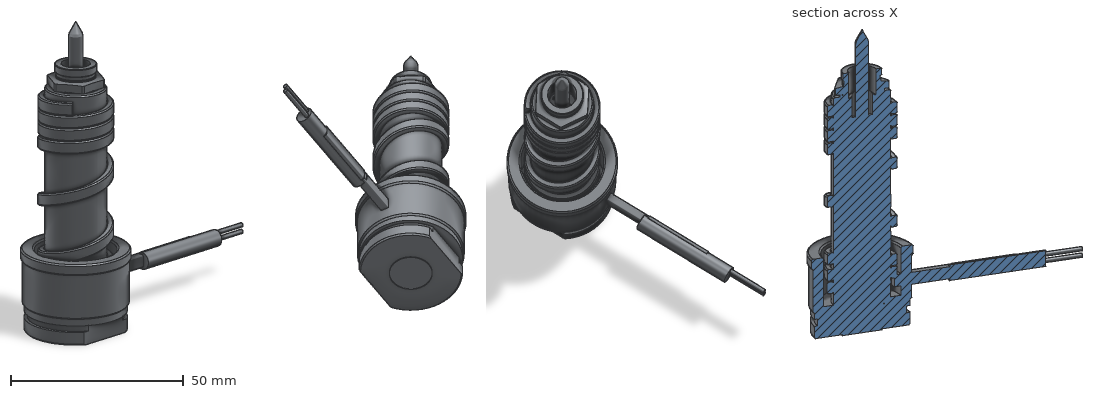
import cadquery as cq
import math


BOSS_RADIUS = 6.2
BOSS_HEIGHT = 0.3
FOOT_RADIUS = 15.0
FOOT_TOP = 4.3
FOOT_CHAMFER = 0.45
NECK_RADIUS = 14.0
NECK_TOP = 6.3
FOOT_WIDTH_ACROSS_FLATS = 24.2
COLLAR_RADIUS = 15.0
COLLAR_TOP = 8.3
BODY_RADIUS = 15.5
BODY_CHAMFER = 0.5
FLANGE_RADIUS = 16.0
FLANGE_BOTTOM = 21.8
FLANGE_TOP = 25.2
FLANGE_CHAMFER = 0.45
HOUSING_BORE_RADIUS = 12.0
HOUSING_BORE_CHAMFER = 0.5
HOUSING_FLOOR = 10.0

TUBE_RADIUS = 9.0
TUBE_TOP = 74.3
TUBE_CHAMFER = 0.4

HEX_SIDES = 6
HEX_NECK_RADIUS = 7.0
HEX_BOTTOM = 74.8
HEX_RIM = 77.1
HEX_TOP = 77.45
HEX_WIDTH_ACROSS_FLATS = 15.0
HEX_CORNER_RADIUS = 8.45
BUSHING_RADIUS = 6.12
BUSHING_TOP = 81.4
BUSHING_RING_BOTTOM = 79.25
BUSHING_CHAMFER = 0.2
GROOVE_RADIUS = 5.7
GROOVE_SHOULDER_RADIUS = 5.9
GROOVE_TOP = 78.9
GROOVE_BOTTOM = 78.0
GROOVE_SHOULDER_TOP = 77.8
BUSHING_BORE_RADIUS = 4.2
BUSHING_BORE_DEPTH = 8.0
BORE_LEDGE = 0.3
BORE_CONE_HEIGHT = 4.0
FLOW_HOLE_RADIUS = 0.75
FLOW_HOLE_OFFSET = 2.4
FLOW_HOLE_DEPTH = 14.0

NEEDLE_RADIUS = 2.1
NEEDLE_SHOULDER = 89.9
NEEDLE_CONE_RADIUS = 1.9
NEEDLE_CONE_BASE = 90.7
NEEDLE_TIP = 94.2
NEEDLE_ROOT_DEPTH = 16.0

COIL_OUTER_RADIUS = 11.0
COIL_ROOT_RADIUS = TUBE_RADIUS - 0.1
COIL_STRIP_HEIGHT = 3.7
COIL_STRIP_CHAMFER = 0.4
COIL_TOP = 70.8
COIL_TOP_ANGLE = -50.5
TIGHT_PITCH = 3.9
OPEN_PITCH = 18.0
TOP_TIGHT_SWEEP = 1097
PITCH_CHANGE_SWEEP = 128
OPEN_SWEEP = 576.5
BOTTOM_TIGHT_SWEEP = 630
COIL_POINT_STEP = 10

SLEEVE_RADIUS = 2.5
SLEEVE_START = 27.3
SLEEVE_END = 57.4
CABLE_HEIGHT = 14.7
CABLE_LEFT = -2.2
CABLE_WIDTH = 2.6
CABLE_DEPTH = 3.9
CABLE_EDGE_RADIUS = 0.5
CABLE_START = 10.0
CLIP_LEFT = -2.4
CLIP_WIDTH = 2.2
CLIP_DEPTH = 4.1
CLIP_EDGE_RADIUS = 0.65
CLIP_SLOT_FLOOR = -1.3
CLIP_START = 28.7
CLIP_END = 48.9
WIRE_RADIUS = 0.65
WIRE_X = -1.0
WIRE_SPACING = 2.0
WIRE_END = 69.0


def revolve(profile):
    """Turn a list of (radius, z) points about the Z axis."""
    return cq.Workplane("XZ").polyline(profile).close().revolve(360, (0, 0), (0, 1))


def cylinder(radius, bottom, top):
    return cq.Workplane("XY").workplane(offset=bottom).circle(radius).extrude(top - bottom)


def make_foot():
    foot = revolve([
        (0, BOSS_HEIGHT),
        (FOOT_RADIUS - FOOT_CHAMFER, BOSS_HEIGHT),
        (FOOT_RADIUS, BOSS_HEIGHT + FOOT_CHAMFER),
        (FOOT_RADIUS, FOOT_TOP),
        (NECK_RADIUS, FOOT_TOP),
        (NECK_RADIUS, NECK_TOP),
        (0, NECK_TOP),
    ])
    flats = cq.Workplane("XY").rect(FOOT_WIDTH_ACROSS_FLATS, 2 * FOOT_RADIUS).extrude(NECK_TOP)
    return foot.intersect(flats).union(cylinder(BOSS_RADIUS, 0, BOSS_HEIGHT))


def make_housing():
    return revolve([
        (0, NECK_TOP),
        (COLLAR_RADIUS, NECK_TOP),
        (COLLAR_RADIUS, COLLAR_TOP),
        (BODY_RADIUS, COLLAR_TOP + BODY_CHAMFER),
        (BODY_RADIUS, FLANGE_BOTTOM),
        (FLANGE_RADIUS, FLANGE_BOTTOM + BODY_CHAMFER),
        (FLANGE_RADIUS, FLANGE_TOP - FLANGE_CHAMFER),
        (FLANGE_RADIUS - FLANGE_CHAMFER, FLANGE_TOP),
        (HOUSING_BORE_RADIUS + HOUSING_BORE_CHAMFER, FLANGE_TOP),
        (HOUSING_BORE_RADIUS, FLANGE_TOP - HOUSING_BORE_CHAMFER),
        (HOUSING_BORE_RADIUS, HOUSING_FLOOR),
        (0, HOUSING_FLOOR),
    ])


def make_tube():
    return revolve([
        (0, HOUSING_FLOOR),
        (TUBE_RADIUS, HOUSING_FLOOR),
        (TUBE_RADIUS, TUBE_TOP - TUBE_CHAMFER),
        (TUBE_RADIUS - TUBE_CHAMFER, TUBE_TOP),
        (HEX_NECK_RADIUS, TUBE_TOP),
        (HEX_NECK_RADIUS, HEX_BOTTOM),
        (0, HEX_BOTTOM),
    ])


def make_hexagon():
    """Hexagon with corners on Y, rounded corners and a conical top."""
    corner_diameter = HEX_WIDTH_ACROSS_FLATS / math.cos(math.pi / HEX_SIDES)
    hexagon = (
        cq.Workplane("XY")
        .workplane(offset=HEX_BOTTOM)
        .polygon(HEX_SIDES, corner_diameter)
        .extrude(HEX_TOP - HEX_BOTTOM)
        .rotate((0, 0, 0), (0, 0, 1), 180 / HEX_SIDES)
    )
    rounding = revolve([
        (0, HEX_BOTTOM),
        (HEX_CORNER_RADIUS, HEX_BOTTOM),
        (HEX_CORNER_RADIUS, HEX_RIM),
        (GROOVE_SHOULDER_RADIUS, HEX_TOP),
        (0, HEX_TOP),
    ])
    return hexagon.intersect(rounding)


def make_bushing_ring():
    return revolve([
        (0, HEX_BOTTOM),
        (GROOVE_SHOULDER_RADIUS, HEX_BOTTOM),
        (GROOVE_SHOULDER_RADIUS, GROOVE_SHOULDER_TOP),
        (GROOVE_RADIUS, GROOVE_BOTTOM),
        (GROOVE_RADIUS, GROOVE_TOP),
        (BUSHING_RADIUS, BUSHING_RING_BOTTOM),
        (BUSHING_RADIUS, BUSHING_TOP - BUSHING_CHAMFER),
        (BUSHING_RADIUS - BUSHING_CHAMFER, BUSHING_TOP),
        (0, BUSHING_TOP),
    ])


def make_bushing_bore():
    """Bore whose floor rises as a cone inside a narrow ledge, with two flow holes beside the needle."""
    floor = BUSHING_TOP - BUSHING_BORE_DEPTH
    bore = revolve([
        (0, BUSHING_TOP),
        (BUSHING_BORE_RADIUS, BUSHING_TOP),
        (BUSHING_BORE_RADIUS, floor),
        (BUSHING_BORE_RADIUS - BORE_LEDGE, floor),
        (0, floor + BORE_CONE_HEIGHT),
    ])
    hole = cylinder(FLOW_HOLE_RADIUS, BUSHING_TOP - FLOW_HOLE_DEPTH, BUSHING_TOP)
    for side in (-1, 1):
        bore = bore.union(hole.translate((0, side * FLOW_HOLE_OFFSET, 0)))
    return bore


def make_needle():
    root = BUSHING_TOP - NEEDLE_ROOT_DEPTH
    return revolve([
        (0, root),
        (NEEDLE_RADIUS, root),
        (NEEDLE_RADIUS, NEEDLE_SHOULDER),
        (NEEDLE_CONE_RADIUS, NEEDLE_CONE_BASE),
        (0, NEEDLE_TIP),
    ])


def coil_section():
    """Chamfered strip section as (radius, height above its middle) corners."""
    half = COIL_STRIP_HEIGHT / 2
    c = COIL_STRIP_CHAMFER
    lower = [
        (COIL_ROOT_RADIUS, c - half),
        (COIL_ROOT_RADIUS + c, -half),
        (COIL_OUTER_RADIUS - c, -half),
        (COIL_OUTER_RADIUS, c - half),
    ]
    upper = [(radius, -height) for radius, height in reversed(lower)]
    return lower + upper


def coil_stretch_faces(section, start_angle, start_z, sweep, pitches):
    """Side faces of one descending stretch whose pitch changes evenly from first to last.

    Returns the faces with the angle and height where the stretch ends.
    """
    first, last = pitches
    count = math.ceil(sweep / COIL_POINT_STEP)

    def middle_height(fraction):
        turns = fraction * sweep / 360
        return start_z - turns * (first + (last - first) * fraction / 2)

    def corner_curve(radius, height):
        points = []
        for i in range(count + 1):
            fraction = i / count
            angle = math.radians(start_angle - fraction * sweep)
            x = radius * math.cos(angle)
            y = radius * math.sin(angle)
            points.append(cq.Vector(x, y, middle_height(fraction) + height))
        return cq.Edge.makeSpline(points)

    curves = [corner_curve(radius, height) for radius, height in section]
    next_curves = curves[1:] + curves[:1]
    faces = [cq.Face.makeRuledSurface(a, b) for a, b in zip(curves, next_curves)]
    return faces, start_angle - sweep, middle_height(1)


def coil_end_face(section, angle, z):
    direction = math.radians(angle)
    corners = []
    for radius, height in section:
        x = radius * math.cos(direction)
        y = radius * math.sin(direction)
        corners.append(cq.Vector(x, y, z + height))
    return cq.Face.makeFromWires(cq.Wire.makePolygon(corners, close=True))


def make_coil():
    stretches = [
        (TOP_TIGHT_SWEEP, (TIGHT_PITCH, TIGHT_PITCH)),
        (PITCH_CHANGE_SWEEP, (TIGHT_PITCH, OPEN_PITCH)),
        (OPEN_SWEEP, (OPEN_PITCH, OPEN_PITCH)),
        (PITCH_CHANGE_SWEEP, (OPEN_PITCH, TIGHT_PITCH)),
        (BOTTOM_TIGHT_SWEEP, (TIGHT_PITCH, TIGHT_PITCH)),
    ]
    section = coil_section()
    angle = COIL_TOP_ANGLE
    z = COIL_TOP
    faces = [coil_end_face(section, angle, z)]
    for sweep, pitches in stretches:
        sides, angle, z = coil_stretch_faces(section, angle, z, sweep, pitches)
        faces += sides
    faces.append(coil_end_face(section, angle, z))
    return cq.Workplane(cq.Solid.makeSolid(cq.Shell.makeShell(faces)))


def rounded_bar(left, width, depth, edge_radius, start, end):
    """Bar along Y, centred on the cable height, with rounded long edges."""
    return (
        cq.Workplane("XY")
        .box(width, end - start, depth, centered=(False, False, True))
        .edges("|Y")
        .fillet(edge_radius)
        .translate((left, start, CABLE_HEIGHT))
    )


def rod_along_y(radius, x, z, start, end):
    return cq.Workplane("XZ", origin=(x, start, z)).circle(radius).extrude(start - end)


def make_sleeve():
    """Round sleeve, cut flat on its -X side where a rounded clip sits."""
    sleeve = rod_along_y(SLEEVE_RADIUS, 0, CABLE_HEIGHT, SLEEVE_START, SLEEVE_END)
    slot = (
        cq.Workplane("XY")
        .box(SLEEVE_RADIUS, CLIP_END - CLIP_START, 2 * SLEEVE_RADIUS, centered=(False, False, True))
        .translate((CLIP_SLOT_FLOOR - SLEEVE_RADIUS, CLIP_START, CABLE_HEIGHT))
    )
    clip = rounded_bar(CLIP_LEFT, CLIP_WIDTH, CLIP_DEPTH, CLIP_EDGE_RADIUS, CLIP_START, CLIP_END)
    return sleeve.cut(slot).union(clip)


def make_cable():
    """Flat cable into the sleeve and two single wires out of its far end."""
    cable = rounded_bar(CABLE_LEFT, CABLE_WIDTH, CABLE_DEPTH, CABLE_EDGE_RADIUS, CABLE_START, CLIP_START)
    cable = cable.union(make_sleeve())
    for side in (-1, 1):
        z = CABLE_HEIGHT + side * WIRE_SPACING / 2
        cable = cable.union(rod_along_y(WIRE_RADIUS, WIRE_X, z, CLIP_END, WIRE_END))
    return cable


nozzle = make_tube().union(make_hexagon()).union(make_bushing_ring())
nozzle = nozzle.cut(make_bushing_bore()).union(make_needle())
result = nozzle.union(make_coil())
result = result.union(make_housing()).union(make_foot()).union(make_cable())